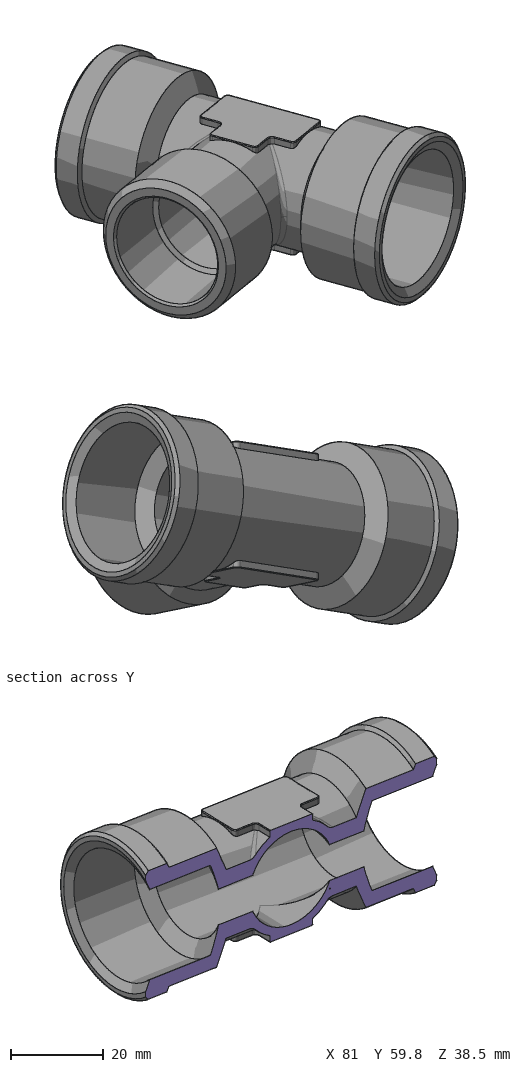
import cadquery as cq
import math

run_half_length = 40.5
neck_diameter = 27.3
bore_diameter = 23.0
socket_outer_diameter = 36.5
socket_shoulder_x = 20.7
collar_diameter = 38.5
collar_width = 6.0
collar_chamfer = 0.75
socket_bore_diameter = 30.75
socket_mouth_diameter = 34.8
socket_bore_depth = 18.0

branch_length = 40.5
spigot_diameter = 33.05
spigot_shoulder_y = 23.2
spigot_chamfer = 1.5
spigot_bore_diameter = 25.2
spigot_bore_depth = 16.0
spigot_mouth_chamfer = 0.5

cone_angle = 60.0

pad_unit = 6.0
pad_height = 13.9
pad_corner_radius = 1.0
pad_edge_chamfer = 0.2

crossing_fillet = 1.0


def cone_length(large_diameter, small_diameter):
    """Axial length of a cone between two diameters, sloping at the cone angle."""
    return (large_diameter - small_diameter) / 2 / math.tan(math.radians(cone_angle))


def revolve_profile(profile):
    """Solid of revolution about Y from (radius, distance) points, closed on the axis."""
    start = profile[0][1]
    end = profile[-1][1]
    points = [(0, start)] + profile + [(0, end)]
    return cq.Workplane("XY").polyline(points).close().revolve(360, (0, 0, 0), (0, 1, 0))


def place_run_ends(end):
    """Copy a +Y end onto both run ends, +X and -X."""
    axis_start, axis_end = (0, 0, 0), (0, 0, 1)
    right = end.rotate(axis_start, axis_end, -90)
    left = end.rotate(axis_start, axis_end, 90)
    return right.union(left)


def place_branch(end):
    """Turn a +Y end onto the branch, -Y."""
    return end.rotate((0, 0, 0), (0, 0, 1), 180)


def make_crossing():
    """Plain T of neck tubes with the crossing edge rounded."""
    radius = neck_diameter / 2
    run = cq.Workplane("YZ").circle(radius).extrude(socket_shoulder_x, both=True)
    branch = cq.Workplane("XZ").circle(radius).extrude(spigot_shoulder_y)
    crossing_edges = run.union(branch).edges("not(%CIRCLE or %LINE)")
    return crossing_edges.fillet(crossing_fillet)


def make_socket():
    """Outside of one socket: shoulder cone, barrel and chamfered collar."""
    neck_end = socket_shoulder_x - cone_length(socket_outer_diameter, neck_diameter)
    collar_start = run_half_length - collar_width
    return revolve_profile([
        (neck_diameter / 2, neck_end),
        (socket_outer_diameter / 2, socket_shoulder_x),
        (socket_outer_diameter / 2, collar_start - cone_length(collar_diameter, socket_outer_diameter)),
        (collar_diameter / 2, collar_start),
        (collar_diameter / 2, run_half_length - collar_chamfer),
        (collar_diameter / 2 - collar_chamfer, run_half_length),
    ])


def make_socket_bore():
    """Inside of one socket: run bore, conical bottom, straight bore and flared mouth."""
    bore_bottom = run_half_length - socket_bore_depth
    mouth_depth = cone_length(socket_mouth_diameter, socket_bore_diameter)
    bottom_cone = cone_length(socket_bore_diameter, bore_diameter)
    return revolve_profile([
        (bore_diameter / 2, 0),
        (bore_diameter / 2, bore_bottom - bottom_cone),
        (socket_bore_diameter / 2, bore_bottom),
        (socket_bore_diameter / 2, run_half_length - mouth_depth),
        (socket_mouth_diameter / 2, run_half_length),
    ])


def make_spigot():
    """Outside of the branch end: shoulder cone, barrel and end chamfer."""
    neck_end = spigot_shoulder_y - cone_length(spigot_diameter, neck_diameter)
    return revolve_profile([
        (neck_diameter / 2, neck_end),
        (spigot_diameter / 2, spigot_shoulder_y),
        (spigot_diameter / 2, branch_length - spigot_chamfer),
        (spigot_diameter / 2 - spigot_chamfer, branch_length),
    ])


def make_spigot_bore():
    """Inside of the branch: run bore, conical bottom, straight bore and chamfered mouth."""
    bore_bottom = branch_length - spigot_bore_depth
    bottom_cone = cone_length(spigot_bore_diameter, bore_diameter)
    return revolve_profile([
        (bore_diameter / 2, 0),
        (bore_diameter / 2, bore_bottom - bottom_cone),
        (spigot_bore_diameter / 2, bore_bottom),
        (spigot_bore_diameter / 2, branch_length - spigot_mouth_chamfer),
        (spigot_bore_diameter / 2 + spigot_mouth_chamfer, branch_length),
    ])


def make_pads():
    """T-shaped prism whose ends stand out as flat pads at the top and bottom."""
    bar = cq.Workplane("XY").rect(4 * pad_unit, 2 * pad_unit).extrude(pad_height, both=True)
    stem = (
        cq.Workplane("XY")
        .center(0, -pad_unit)
        .rect(2 * pad_unit, 2 * pad_unit)
        .extrude(pad_height, both=True)
    )
    prism = bar.union(stem).edges("|Z").fillet(pad_corner_radius)
    return prism.faces("<Z or >Z").chamfer(pad_edge_chamfer)


outside = (
    make_crossing()
    .union(make_pads())
    .union(place_run_ends(make_socket()))
    .union(place_branch(make_spigot()))
)
result = (
    outside
    .cut(place_run_ends(make_socket_bore()))
    .cut(place_branch(make_spigot_bore()))
)